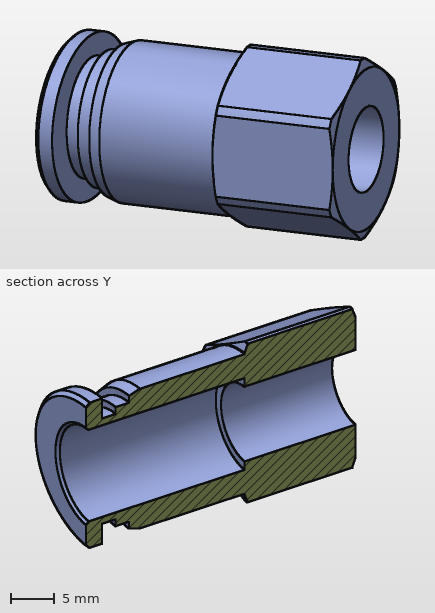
import cadquery as cq
import math

length = 36.4

flange_half_width = 11.25
flange_half_height = 9.75
flange_end = 2.22
flange_chamfer = 0.5

neck_radius = 7.1
neck_end = 4.0
collar_radius = 8.0
collar_end = 5.82
body_radius = 9.4
body_taper_length = 1.45
body_taper_drop = 0.47
body_end = 21.4

hex_sides = 6
hex_across_flats = 19.0
hex_across_corners = 21.3
hex_bevel_angle = 20.0

tube_bore_radius = 6.1
tube_bore_chamfer = 0.35
tube_bore_depth = body_end
passage_radius = 5.0


def cylinder(start, end, radius):
    """Cylinder around the X axis between two X positions."""
    return cq.Workplane("YZ", origin=(start, 0, 0)).circle(radius).extrude(end - start)


def revolve_about_x(points):
    """Solid of revolution from an outline of (X, radius) points."""
    return cq.Workplane("XY").polyline(points).close().revolve(360, (0, 0, 0), (1, 0, 0))


def make_flange():
    flange = cq.Workplane("YZ").ellipse(flange_half_width, flange_half_height).extrude(flange_end)
    return flange.faces("<X").chamfer(flange_chamfer)


def make_body():
    return revolve_about_x([
        (collar_end, 0),
        (collar_end, body_radius - body_taper_drop),
        (collar_end + body_taper_length, body_radius),
        (body_end, body_radius),
        (body_end, 0),
    ])


def make_hexagon():
    """Hexagonal prism with corners up and down, trimmed by a turned blank."""
    flat_radius = hex_across_flats / 2
    corner_radius = hex_across_corners / 2
    sharp_corner_diameter = hex_across_flats / math.cos(math.pi / hex_sides)
    bevel_length = (corner_radius - flat_radius) * math.tan(math.radians(hex_bevel_angle))
    prism = (
        cq.Workplane("YZ", origin=(body_end, 0, 0))
        .polygon(hex_sides, sharp_corner_diameter)
        .extrude(length - body_end)
        .rotate((0, 0, 0), (1, 0, 0), 90)
    )
    turned_blank = revolve_about_x([
        (body_end, 0),
        (body_end, flat_radius),
        (body_end + bevel_length, corner_radius),
        (length - bevel_length, corner_radius),
        (length, flat_radius),
        (length, 0),
    ])
    return prism.intersect(turned_blank)


def make_bore():
    """Tube socket with a chamfered mouth, then a narrower passage through to the far end."""
    socket = revolve_about_x([
        (0, 0),
        (0, tube_bore_radius + tube_bore_chamfer),
        (tube_bore_chamfer, tube_bore_radius),
        (tube_bore_depth, tube_bore_radius),
        (tube_bore_depth, 0),
    ])
    return socket.union(cylinder(0, length, passage_radius))


neck = cylinder(flange_end, neck_end, neck_radius)
collar = cylinder(neck_end, collar_end, collar_radius)

outside = make_flange().union(neck).union(collar).union(make_body()).union(make_hexagon())
result = outside.cut(make_bore())